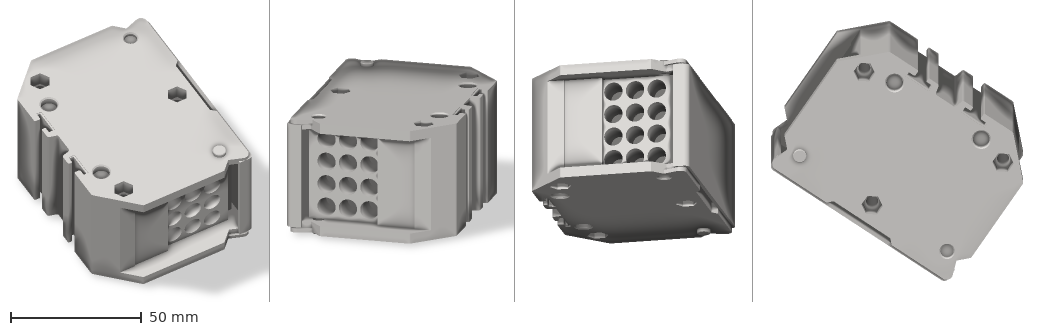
import cadquery as cq
import math

HALF_WIDTH = 43.0
HEIGHT = 64.3
HALF_DEPTH = 22.5
HALF_INNER = 18.5
OVERLAP = 0.1

CORNER_CUT = 14.5
WING_TOP_Y = 50.2
NECK_X, NECK_Y = 39.0, 54.2
WALL_TOP = 63.0
SHOULDER_LEAN = math.radians(20)
SHOULDER_RADIUS = 2.4
RAIL_CORNER_RADIUS = 1.3
WING_CORNER_RADIUS = 0.8
NOTCH_TOP, NOTCH_FLOOR, NOTCH_DEPTH = 15.0, 13.1, 1.95

STEP_DEPTH = 1.5
STEP_INSET = 0.8

LID_HALF_WIDTH = 40.8
LID_HALF_DEPTH = 20.45
LID_RADIUS = 2.0
LID_LEG_BOTTOM = 58.3
LID_LEG_THICKNESS = 1.5
LID_INNER_RADIUS = 0.8

BLOCK_HALF_WIDTH = 33.6
BLOCK_STEP_Y = 57.2
BLOCK_TOP_HALF_WIDTH = 29.5
BLOCK_TOP = WALL_TOP - NOTCH_DEPTH
BASE_HALF_WIDTH = 36.0
BASE_TOP = 29.3
FOOT_HALF_WIDTH = 36.5
FOOT_TOP = CORNER_CUT
WIRE_DIAMETER, WIRE_DEPTH = 7.2, 12.0
WIRE_ROWS_Y = (33.2, 41.7, 50.2)
WIRE_PITCH_Z, WIRE_COLUMNS = 9.0, 4

RAIL_SLOT_INNER, RAIL_SLOT_OUTER = 7.8, 17.8
RAIL_MOUTH_INNER, RAIL_MOUTH_OUTER = 10.3, 15.1
RAIL_SLOT_TOP = 3.9
RAIL_LIP_INNER, RAIL_LIP_OUTER = 2.0, 2.6
LIP_RADIUS = 0.5
FOOT_RADIUS = 0.9
RIM_SIDE, RIM_TOP, RIM_DEPTH = 0.4, 0.7, 0.25
RELIEF = 0.25
RELIEF_HALF_WIDTH = 12.0
CENTRE_TOP_HALF, CENTRE_FOOT_HALF = 4.5, 5.6
CENTRE_TOP_Y = 4.15
CENTRE_RADIUS = 0.7

PIN_X, PIN_Y = 34.0, 53.2
PIN_DIAMETER, PIN_HEIGHT, PIN_CHAMFER = 5.2, 1.5, 0.25
PIN_CORE_DIAMETER, PIN_CORE_DEPTH = 4.6, 1.3
SOCKET_DIAMETER, SOCKET_DEPTH = 5.0, 1.6
LARGE_X, LARGE_Y = 20.0, 9.2
LARGE_DIAMETER, LARGE_DEPTH = 6.4, 3.0
SOCKET_CHAMFER = 0.5
BOLT_TOP_Y = 54.1
BOLT_LOW_X, BOLT_LOW_Y = 32.0, 12.1
BOLT_DIAMETER, HEX_ACROSS_FLATS, HEX_DEPTH = 4.6, 7.1, 6.0
BOLTS = (
    (0, BOLT_TOP_Y, 5.1),
    (-BOLT_LOW_X, BOLT_LOW_Y, 5.9),
    (BOLT_LOW_X, BOLT_LOW_Y, 5.4),
)


def prism(points, z_low, z_high):
    """Extrude a closed XY polygon between two heights."""
    return cq.Workplane("XY").workplane(offset=z_low).polyline(points).close().extrude(z_high - z_low)


def mirrored(points):
    """Complete a right-hand outline, listed from the bottom up, with its left half."""
    return points + [(-x, y) for x, y in reversed(points)]


def round_upright(body, x, y, z, radius):
    """Fillet the upright edge whose middle lies closest to a point."""
    corner = cq.selectors.NearestToPointSelector((x, y, z))
    return body.edges("|Z").edges(corner).fillet(radius)


def slab(inset, z_low, z_high):
    """One layer of side wall, with its shoulder shifted inward by inset."""
    neck_x = NECK_X - inset
    neck_y = NECK_Y + inset
    shoulder_x = neck_x + (WALL_TOP - neck_y) * math.tan(SHOULDER_LEAN)
    outline = [
        (HALF_WIDTH - CORNER_CUT, 0),
        (HALF_WIDTH, CORNER_CUT),
        (HALF_WIDTH, WING_TOP_Y),
        (neck_x, neck_y),
        (shoulder_x, WALL_TOP),
        (NOTCH_TOP, WALL_TOP),
        (NOTCH_FLOOR, WALL_TOP - NOTCH_DEPTH),
    ]
    body = prism(mirrored(outline), z_low, z_high)
    corners = ((0, RAIL_CORNER_RADIUS), (1, WING_CORNER_RADIUS), (4, SHOULDER_RADIUS))
    z_mid = (z_low + z_high) / 2
    for index, radius in corners:
        x, y = outline[index]
        for side in (-1, 1):
            body = round_upright(body, side * x, y, z_mid, radius)
    return body


def side_walls():
    step_z = HALF_DEPTH - STEP_DEPTH
    outer = slab(0, step_z, HALF_DEPTH)
    inner = slab(STEP_INSET, HALF_INNER, step_z)
    upper = outer.union(inner)
    return upper.union(upper.mirror("XY"))


def terminal_block():
    outline = [
        (HALF_WIDTH - CORNER_CUT, 0),
        (FOOT_HALF_WIDTH, FOOT_HALF_WIDTH - HALF_WIDTH + CORNER_CUT),
        (FOOT_HALF_WIDTH, FOOT_TOP),
        (BASE_HALF_WIDTH, FOOT_TOP),
        (BASE_HALF_WIDTH, BASE_TOP),
        (BLOCK_HALF_WIDTH, BASE_TOP),
        (BLOCK_HALF_WIDTH, BLOCK_STEP_Y),
        (BLOCK_TOP_HALF_WIDTH, BLOCK_STEP_Y),
        (BLOCK_TOP_HALF_WIDTH, BLOCK_TOP),
    ]
    block = prism(mirrored(outline), -HALF_INNER, HALF_INNER)
    for side in (-1, 1):
        block = round_upright(block, side * outline[0][0], 0, 0, RAIL_CORNER_RADIUS)
    return block


def lid():
    height = HEIGHT - LID_LEG_BOTTOM
    middle = LID_LEG_BOTTOM + height / 2
    cover = cq.Workplane("XY").box(2 * LID_HALF_WIDTH, height, 2 * LID_HALF_DEPTH)
    cover = cover.translate((0, middle, 0)).edges("|Z and >Y").fillet(LID_RADIUS)
    inner_half = LID_HALF_WIDTH - LID_LEG_THICKNESS
    inner_height = WALL_TOP - OVERLAP - LID_LEG_BOTTOM
    hollow = cq.Workplane("XY").box(2 * inner_half, inner_height, 2 * LID_HALF_DEPTH)
    hollow = hollow.edges("|Z and >Y").fillet(LID_INNER_RADIUS)
    return cover.cut(hollow.translate((0, LID_LEG_BOTTOM + inner_height / 2, 0)))


def rail_slot():
    """T-shaped groove on the +X side, with a shallow wider rim at both ends."""
    outline = [
        (RAIL_MOUTH_INNER, -RELIEF),
        (RAIL_MOUTH_OUTER, -RELIEF),
        (RAIL_MOUTH_OUTER, RAIL_LIP_OUTER),
        (RAIL_SLOT_OUTER, RAIL_LIP_OUTER),
        (RAIL_SLOT_OUTER, RAIL_SLOT_TOP),
        (RAIL_SLOT_INNER, RAIL_SLOT_TOP),
        (RAIL_SLOT_INNER, RAIL_LIP_INNER),
        (RAIL_MOUTH_INNER, RAIL_LIP_INNER),
    ]
    slot = prism(outline, -HALF_DEPTH, HALF_DEPTH)
    for x, y in (outline[2], outline[7]):
        slot = round_upright(slot, x, y, 0, LIP_RADIUS)
    rim_inner = RAIL_SLOT_INNER - RIM_SIDE
    rim_outer = RAIL_SLOT_OUTER + RIM_SIDE
    rim_top = RAIL_SLOT_TOP + RIM_TOP
    rim = prism(
        [
            (rim_inner, RAIL_LIP_INNER),
            (RAIL_MOUTH_OUTER, RAIL_LIP_INNER),
            (RAIL_MOUTH_OUTER, RAIL_LIP_OUTER),
            (rim_outer, RAIL_LIP_OUTER),
            (rim_outer, rim_top),
            (rim_inner, rim_top),
        ],
        HALF_DEPTH - RIM_DEPTH,
        HALF_DEPTH,
    )
    return slot.union(rim).union(rim.mirror("XY"))


def cut_rail_side(body):
    relief = cq.Workplane("XY").box(2 * RELIEF_HALF_WIDTH, 2 * RELIEF, 2 * HALF_DEPTH)
    centre_outline = mirrored([(CENTRE_FOOT_HALF, 0), (CENTRE_TOP_HALF, CENTRE_TOP_Y)])
    centre = prism(centre_outline, -HALF_DEPTH, HALF_DEPTH)
    centre = centre.edges("|Z and >Y").fillet(CENTRE_RADIUS)
    slot = rail_slot()
    body = body.cut(relief).cut(centre).cut(slot).cut(slot.mirror("YZ"))
    foot_x = CENTRE_FOOT_HALF - (CENTRE_FOOT_HALF - CENTRE_TOP_HALF) * RELIEF / CENTRE_TOP_Y
    mouth_corners = (
        (foot_x, RELIEF, FOOT_RADIUS),
        (RAIL_MOUTH_INNER, RELIEF, LIP_RADIUS),
        (RAIL_MOUTH_OUTER, 0, LIP_RADIUS),
    )
    for x, y, radius in mouth_corners:
        for side in (-1, 1):
            body = round_upright(body, side * x, y, 0, radius)
    return body


def wire_entries():
    """Blind round wire holes in both end faces of the terminal block."""
    columns = [WIRE_PITCH_Z * (i - (WIRE_COLUMNS - 1) / 2) for i in range(WIRE_COLUMNS)]
    places = [(y, z) for y in WIRE_ROWS_Y for z in columns]
    start = BLOCK_HALF_WIDTH - WIRE_DEPTH
    holes = cq.Workplane("YZ").workplane(offset=start).pushPoints(places)
    holes = holes.circle(WIRE_DIAMETER / 2).extrude(WIRE_DEPTH)
    return holes.union(holes.mirror("YZ"))


def pin():
    """Locating pin on the upper wall, at +X."""
    base = cq.Workplane("XY").workplane(offset=HALF_DEPTH - OVERLAP).center(PIN_X, PIN_Y)
    peg = base.circle(PIN_DIAMETER / 2).extrude(PIN_HEIGHT + OVERLAP)
    return peg.faces(">Z").chamfer(PIN_CHAMFER)


def pin_core():
    """Recess in the inner face of the upper wall, behind the pin."""
    base = cq.Workplane("XY").workplane(offset=HALF_INNER).center(PIN_X, PIN_Y)
    return base.circle(PIN_CORE_DIAMETER / 2).extrude(PIN_CORE_DEPTH)


def socket(x, y, diameter, depth):
    """Round blind socket in the upper wall with a chamfered mouth."""
    base = cq.Workplane("XY").workplane(offset=HALF_DEPTH - depth).center(x, y)
    bore = base.circle(diameter / 2).extrude(depth)
    mouth = cq.Workplane("XY").workplane(offset=HALF_DEPTH).center(x, y)
    mouth = mouth.circle(diameter / 2 + SOCKET_CHAMFER).extrude(-SOCKET_CHAMFER, taper=45)
    return bore.union(mouth)


def hex_pocket(x, y):
    """Hexagonal pocket in the upper wall, with a corner pointing along Y."""
    across_corners = HEX_ACROSS_FLATS / math.cos(math.pi / 6)
    base = cq.Workplane("XY").workplane(offset=HALF_DEPTH - HEX_DEPTH)
    base = base.transformed(offset=(x, y, 0), rotate=(0, 0, 90))
    return base.polygon(6, across_corners).extrude(HEX_DEPTH)


def bolt_hole(x, y, upper_diameter):
    """Through hole along Z, wider above the middle plane."""
    narrow = cq.Workplane("XY").workplane(offset=-HALF_DEPTH).center(x, y)
    narrow = narrow.circle(BOLT_DIAMETER / 2).extrude(2 * HALF_DEPTH)
    wide = cq.Workplane("XY").center(x, y).circle(upper_diameter / 2).extrude(HALF_DEPTH)
    return narrow.union(wide)


def turned(body):
    """The same feature on the opposite wall, half a turn about the Y axis."""
    return body.rotate((0, 0, 0), (0, 1, 0), 180)


def cut_both_walls(body, cutter):
    return body.cut(cutter).cut(turned(cutter))


def housing():
    body = side_walls().union(terminal_block()).union(lid())
    body = cut_rail_side(body)
    body = body.cut(wire_entries())
    body = body.union(pin()).union(turned(pin()))
    body = cut_both_walls(body, pin_core())
    body = cut_both_walls(body, socket(-PIN_X, PIN_Y, SOCKET_DIAMETER, SOCKET_DEPTH))
    for x in (-LARGE_X, LARGE_X):
        body = cut_both_walls(body, socket(x, LARGE_Y, LARGE_DIAMETER, LARGE_DEPTH))
    for x, y, upper_diameter in BOLTS:
        body = cut_both_walls(body, hex_pocket(x, y))
        body = body.cut(bolt_hole(x, y, upper_diameter))
    return body


result = housing()